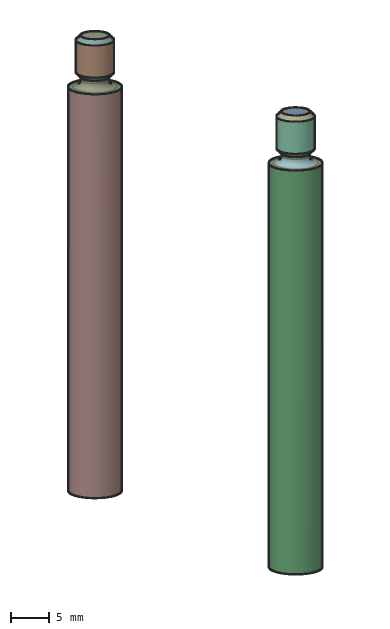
import cadquery as cq

post_height = 61.8
post_spacing = 43.0

body_diameter = 7.0
head_diameter = 5.0
neck_diameter = 3.7
head_top_diameter = 3.7

shoulder_drop = 7.0
head_drop = 5.0
neck_fillet = 1.0

body_radius = body_diameter / 2
head_radius = head_diameter / 2
neck_radius = neck_diameter / 2
head_top_radius = head_top_diameter / 2
top_chamfer = head_radius - head_top_radius
lower_chamfer = head_radius - neck_radius
shoulder_z = post_height - shoulder_drop
head_bottom_z = post_height - head_drop


def make_post(x):
    """Turned post with a shoulder, an undercut neck and a chamfered head; its axis is at the given X."""
    outline = (
        cq.Workplane("XZ")
        .moveTo(0, 0)
        .lineTo(body_radius, 0)
        .lineTo(body_radius, shoulder_z)
        .lineTo(neck_radius + neck_fillet, shoulder_z)
        .radiusArc((neck_radius, shoulder_z + neck_fillet), neck_fillet)
        .lineTo(neck_radius, head_bottom_z - lower_chamfer)
        .lineTo(head_radius, head_bottom_z)
        .lineTo(head_radius, post_height - top_chamfer)
        .lineTo(head_top_radius, post_height)
        .lineTo(0, post_height)
        .close()
    )
    post = outline.revolve(360, (0, 0, 0), (0, 1, 0))
    return post.translate((x, 0, 0))


posts = [make_post(side * post_spacing / 2) for side in (-1, 1)]

result = cq.Compound.makeCompound([post.val() for post in posts])